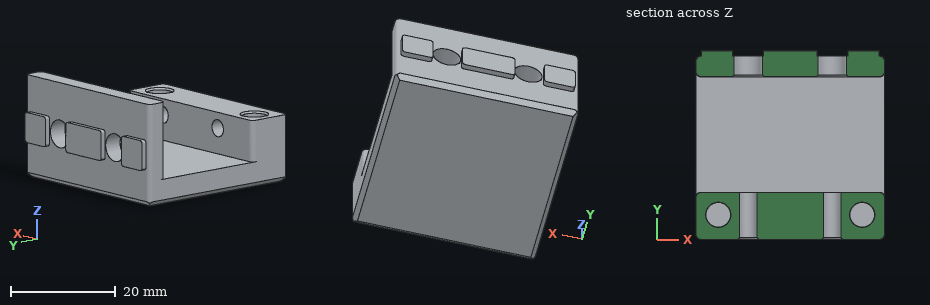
import cadquery as cq

width = 36.0
depth = 35.0
height = 20.0
floor_height = 5.0
wall_thickness = 4.0
block_depth = 9.0
block_height = 13.1
corner_radius = 1.0
bottom_chamfer = 0.97

screw_spacing = 16.0
screw_height = 10.0
block_hole_diameter = 3.3
wall_hole_diameter = 5.4
hole_chamfer = 0.35

pocket_spacing = 27.45
pocket_from_front = 4.7
pocket_diameter = 4.7
pocket_depth = block_height - floor_height

pad_thickness = width - depth
pad_height = 5.85
pad_corner_radius = 0.6
middle_pad_width = 10.3
outer_pad_width = 6.0
outer_pad_offset = 13.95


def rounded_block(block_width, block_length, block_top, front_y):
    """Box standing on z = 0 with rounded vertical edges."""
    block = cq.Workplane("XY").box(block_width, block_length, block_top, centered=(True, False, False))
    return block.edges("|Z").fillet(corner_radius).translate((0, front_y, 0))


def chamfered_hole(center, direction, diameter, length):
    """Hole tool that starts at center, with a conical mouth there."""
    radius = diameter / 2
    bore = cq.Solid.makeCylinder(radius, length, center, direction)
    mouth = cq.Solid.makeCone(radius + hole_chamfer, radius, hole_chamfer, center, direction)
    return cq.Workplane(bore.fuse(mouth))


def back_pad(center_x, pad_width):
    """Pad with rounded corners, sunk into the wall so that it joins it."""
    overlap = wall_thickness / 2
    pad = cq.Workplane("XY").box(pad_width, pad_thickness + overlap, pad_height, centered=(True, False, True))
    pad = pad.edges("|Y").fillet(pad_corner_radius)
    return pad.translate((center_x, depth - overlap, screw_height))


wall_front_y = depth - wall_thickness
body = rounded_block(width, depth, floor_height, 0)
body = body.union(rounded_block(width, wall_thickness, height, wall_front_y))
body = body.union(rounded_block(width, block_depth, block_height, 0))

lower_envelope = (
    cq.Workplane("XY")
    .box(width, depth, height, centered=(True, False, False))
    .faces("<Z")
    .chamfer(bottom_chamfer)
)
body = body.intersect(lower_envelope)

for side in (-1, 1):
    screw_x = side * screw_spacing / 2
    body = body.cut(
        chamfered_hole(cq.Vector(screw_x, 0, screw_height), cq.Vector(0, 1, 0), block_hole_diameter, block_depth)
    )
    body = body.cut(
        chamfered_hole(
            cq.Vector(screw_x, wall_front_y, screw_height),
            cq.Vector(0, 1, 0),
            wall_hole_diameter,
            wall_thickness,
        )
    )
    pocket_mouth = cq.Vector(side * pocket_spacing / 2, pocket_from_front, block_height)
    body = body.cut(chamfered_hole(pocket_mouth, cq.Vector(0, 0, -1), pocket_diameter, pocket_depth))

body = body.union(back_pad(0, middle_pad_width))
for side in (-1, 1):
    body = body.union(back_pad(side * outer_pad_offset, outer_pad_width))

result = body